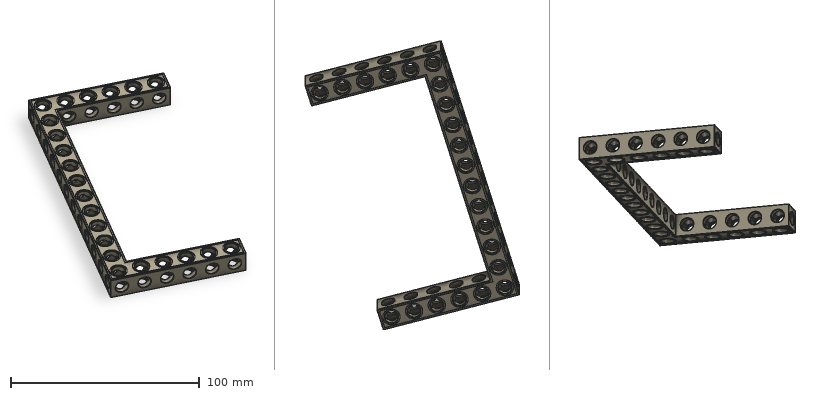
import cadquery as cq

length = 150.0
columns = 12
rows = 6
pitch = length / columns
hole_diameter = 7.0
collar_diameter = 9.2
rim_width = 1.12
recess_depth = 0.2
edge_chamfer = 0.3
mouth_chamfer = 0.25

depth = rows * pitch
half_pitch = pitch / 2
hole_radius = hole_diameter / 2
mouth_radius = hole_radius + mouth_chamfer


def cell_centre(index):
    """Distance from the frame corner to the middle of a grid cell."""
    return (index + 0.5) * pitch


cells = [
    (cell_centre(column), cell_centre(row))
    for column in range(columns)
    for row in range(rows)
    if row == 0 or column in (0, columns - 1)
]


def u_prism(inset, height):
    """U-shaped prism on Z = 0, its outline moved inwards by inset."""
    wall = pitch - inset
    return (
        cq.Workplane("XY")
        .moveTo(inset, inset)
        .lineTo(length - inset, inset)
        .lineTo(length - inset, depth - inset)
        .lineTo(length - wall, depth - inset)
        .lineTo(length - wall, wall)
        .lineTo(wall, wall)
        .lineTo(wall, depth - inset)
        .lineTo(inset, depth - inset)
        .close()
        .extrude(height)
    )


def recess():
    """Shallow U-shaped pocket that leaves a collar around each vertical hole."""
    collars = cq.Workplane("XY").pushPoints(cells).circle(collar_diameter / 2).extrude(recess_depth)
    return u_prism(rim_width, recess_depth).cut(collars)


def hole_cutter(run):
    """Drill along +Z from the origin, opening into a small chamfer at both ends."""
    return (
        cq.Workplane("XZ")
        .lineTo(mouth_radius, 0)
        .lineTo(hole_radius, mouth_chamfer)
        .lineTo(hole_radius, run - mouth_chamfer)
        .lineTo(mouth_radius, run)
        .lineTo(0, run)
        .close()
        .revolve(360, (0, 0, 0), (0, 1, 0))
    )


def x_drill(start, run, row):
    """Hole along +X through the middle height of the given row."""
    cutter = hole_cutter(run).rotate((0, 0, 0), (0, 1, 0), 90)
    return cutter.translate((start, cell_centre(row), half_pitch))


def y_drill(run, column):
    """Hole along +Y from the long outer side, at the given column."""
    cutter = hole_cutter(run).rotate((0, 0, 0), (1, 0, 0), -90)
    return cutter.translate((cell_centre(column), 0, half_pitch))


result = u_prism(0, pitch).edges().chamfer(edge_chamfer)
result = result.cut(recess())
result = result.cut(recess().translate((0, 0, pitch - recess_depth)))

for x, y in cells:
    result = result.cut(hole_cutter(pitch).translate((x, y, 0)))

for column in range(columns):
    run = depth if column in (0, columns - 1) else pitch
    result = result.cut(y_drill(run, column))

result = result.cut(x_drill(0, length, 0))
for row in range(1, rows):
    for start in (0, length - pitch):
        result = result.cut(x_drill(start, pitch, row))